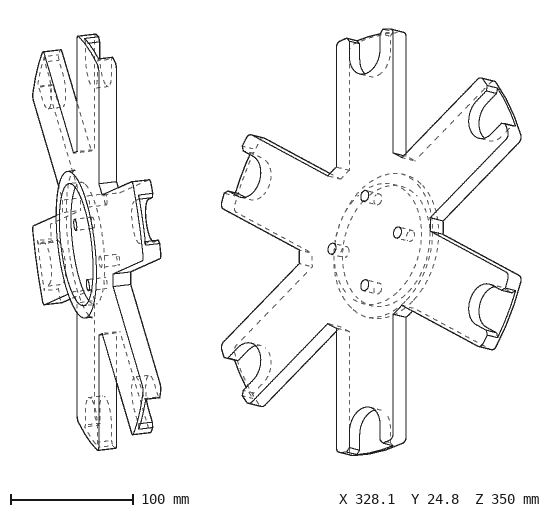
import cadquery as cq

BLADE_COUNT = 6
TIP_RADIUS = 175.0
BLADE_WIDTH = 65.0
BLADE_CORNER_RADIUS = 5.0
PLATE_THICKNESS = 15.0
HUB_DIAMETER = 150.0

RING_HEIGHT = 9.8
RING_OUTER_DIAMETER = 120.0
RING_INNER_DIAMETER = 100.0
RING_FILLET = 5.0

HOLE_COUNT = 4
HOLE_DIAMETER = 9.0
HOLE_CIRCLE_DIAMETER = 75.0

POCKET_WIDTH = 35.0
POCKET_DEPTH = 35.0
POCKET_MOUTH_CHAMFER = 3.0
LIP_THICKNESS = 3.0



def sketch_plane(y):
    """XZ sketch plane at the given Y; it extrudes towards +Y and its local Y is -Z."""
    return cq.Workplane(cq.Plane(origin=(0, y, 0), xDir=(1, 0, 0), normal=(0, 1, 0)))


def around_axis(shape, index):
    """Turn a shape about the Y axis to the given blade position."""
    return shape.rotate((0, 0, 0), (0, 1, 0), index * 360 / BLADE_COUNT)


def make_blade():
    """One blade pointing along -Z, with an arced tip and rounded tip corners."""
    bar = (
        sketch_plane(0)
        .center(0, TIP_RADIUS / 2)
        .rect(BLADE_WIDTH, TIP_RADIUS)
        .extrude(PLATE_THICKNESS)
    )
    disc = sketch_plane(0).circle(TIP_RADIUS).extrude(PLATE_THICKNESS)
    return bar.intersect(disc).faces("<Z").edges("|Y").fillet(BLADE_CORNER_RADIUS)


def make_tip_pocket():
    """Cutter for one blade: a round-ended slot with a chamfered mouth."""
    half_width = POCKET_WIDTH / 2
    half_mouth = half_width + POCKET_MOUTH_CHAMFER
    end = TIP_RADIUS - POCKET_DEPTH
    arc_centre = end + half_width
    mouth = (TIP_RADIUS**2 - half_mouth**2) ** 0.5
    throat = mouth - POCKET_MOUTH_CHAMFER
    return (
        sketch_plane(LIP_THICKNESS)
        .moveTo(-half_width, arc_centre)
        .threePointArc((0, end), (half_width, arc_centre))
        .lineTo(half_width, throat)
        .lineTo(half_mouth, mouth)
        .lineTo(half_mouth, TIP_RADIUS)
        .lineTo(-half_mouth, TIP_RADIUS)
        .lineTo(-half_mouth, mouth)
        .lineTo(-half_width, throat)
        .close()
        .extrude(PLATE_THICKNESS)
    )


def make_ring():
    """Raised ring in front of the plate, flaring onto it with a concave fillet."""
    inner = RING_INNER_DIAMETER / 2
    outer = RING_OUTER_DIAMETER / 2
    fillet_mid = RING_FILLET * (1 - 0.5**0.5)
    return (
        cq.Workplane("XY")
        .moveTo(inner, 0)
        .lineTo(inner, -RING_HEIGHT)
        .lineTo(outer, -RING_HEIGHT)
        .lineTo(outer, -RING_FILLET)
        .threePointArc((outer + fillet_mid, -fillet_mid), (outer + RING_FILLET, 0))
        .close()
        .revolve(360, (0, 0, 0), (0, 1, 0))
    )


def make_mounting_holes():
    """Cutter for the ring of through holes in the hub floor."""
    return (
        sketch_plane(0)
        .polarArray(HOLE_CIRCLE_DIAMETER / 2, 0, 360, HOLE_COUNT)
        .circle(HOLE_DIAMETER / 2)
        .extrude(PLATE_THICKNESS)
    )


result = sketch_plane(0).circle(HUB_DIAMETER / 2).extrude(PLATE_THICKNESS)

blade = make_blade().cut(make_tip_pocket())
for position in range(BLADE_COUNT):
    result = result.union(around_axis(blade, position))

result = result.union(make_ring()).cut(make_mounting_holes())